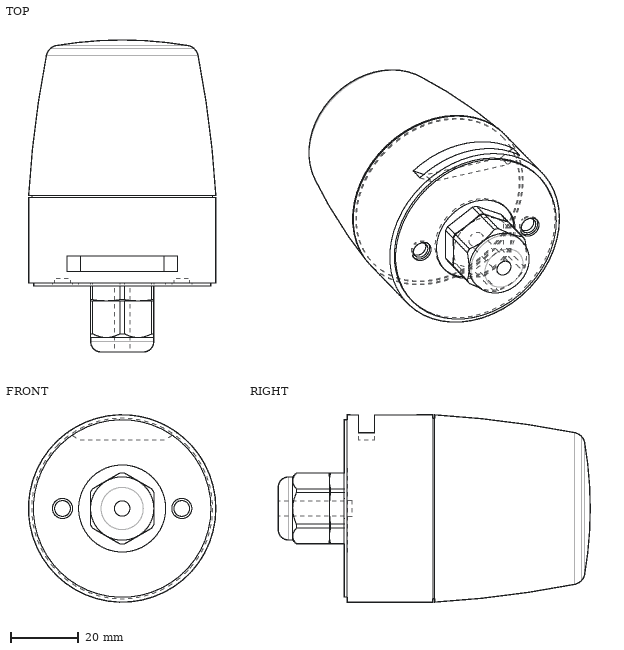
import cadquery as cq
import math


base_radius = 28.0
lip_radius = 26.5
lip_length = 0.9
recess_radius = 13.0
recess_depth = 1.0

groove_start = 26.5
groove_width = 0.5
groove_depth = 1.0
cap_start = groove_start + groove_width

side_mid_radius = 26.1
side_mid_y = 47.6
shoulder_radius = 22.7
shoulder_y = 68.8
shoulder_seam_radius = 21.5
shoulder_seam_y = 70.9
shoulder_round = 4.2
dome_radius = 19.9
dome_y = 71.8
apex_y = 73.5
overall_length = 93.2

slot_front_y = 4.3
slot_back_y = 9.0
slot_floor_half_width = 12.5
slot_mouth_half_width = 16.45
slot_end_slope = math.radians(30)

hole_offset = 17.8
counterbore_radius = 3.0
counterbore_depth = 0.9
hole_radius = 2.35
hole_depth = 2.3

hex_across_flats = 19.0
hex_corner_radius = 10.6
hex_joint_y = -4.4
joint_bevel = 0.35
neck_radius = 9.45
neck_start_y = -15.4
nut_chamfer = hex_corner_radius - neck_radius
gland_tip_y = apex_y - overall_length
tip_round = 3.15
bore_radius = 2.3


def turned(profile):
    """Revolve a closed (radius, Y) profile about the Y axis."""
    return profile.close().revolve(360, (0, 0, 0), (0, 1, 0))


def rod(radius, y_start, y_end, x=0.0):
    """Cylinder parallel to Y, centred at x, from y_start to y_end."""
    plane = cq.Workplane("XZ", origin=(x, y_start, 0))
    return plane.circle(radius).extrude(y_start - y_end)


def make_body():
    """Base and cap turned in one profile; the end dome is part of a sphere."""
    groove_radius = base_radius - groove_depth
    dome_height = apex_y - dome_y
    dome_sphere_radius = (dome_radius**2 + dome_height**2) / (2 * dome_height)
    profile = (
        cq.Workplane("XY")
        .lineTo(lip_radius, 0)
        .lineTo(lip_radius, lip_length)
        .lineTo(base_radius, lip_length)
        .lineTo(base_radius, groove_start)
        .lineTo(groove_radius, groove_start)
        .lineTo(groove_radius, cap_start)
        .lineTo(base_radius, cap_start)
        .threePointArc((side_mid_radius, side_mid_y), (shoulder_radius, shoulder_y))
        .radiusArc((shoulder_seam_radius, shoulder_seam_y), -shoulder_round)
        .radiusArc((dome_radius, dome_y), -shoulder_round)
        .radiusArc((0, apex_y), -dome_sphere_radius)
    )
    return turned(profile)


def make_face_recess():
    """Shallow round recess in the front face, around the gland."""
    return rod(recess_radius, recess_depth, 0)


def make_side_slot():
    """Cutter for the slot across the top of the base, with sloping end walls."""
    mouth_z = math.sqrt(base_radius**2 - slot_mouth_half_width**2)
    slope = math.tan(slot_end_slope)
    floor_z = mouth_z - (slot_mouth_half_width - slot_floor_half_width) * slope
    outer_z = base_radius
    outer_half_width = slot_floor_half_width + (outer_z - floor_z) / slope
    return (
        cq.Workplane("XZ", origin=(0, slot_back_y, 0))
        .moveTo(-slot_floor_half_width, floor_z)
        .lineTo(slot_floor_half_width, floor_z)
        .lineTo(outer_half_width, outer_z)
        .lineTo(-outer_half_width, outer_z)
        .close()
        .extrude(slot_back_y - slot_front_y)
    )


def make_face_hole(x):
    """Cutter for a blind hole with a shallow counterbore in the front face."""
    hole = rod(hole_radius, hole_depth, 0, x)
    return hole.union(rod(counterbore_radius, counterbore_depth, 0, x))


def make_hex(y_start, y_end):
    """Hexagonal bar along Y with two opposite corners on the Z direction."""
    plane = cq.Workplane("XZ", origin=(0, y_start, 0))
    return plane.polygon(6, hex_across_flats, circumscribed=True).extrude(y_start - y_end)


def make_gland():
    """Hexagonal body and nut with turned corners, rounded neck and axial bore.

    The body starts on the recess floor; a shallow bevel marks its joint with the nut.
    """
    hex_envelope = turned(
        cq.Workplane("XY")
        .moveTo(0, recess_depth)
        .lineTo(hex_corner_radius, recess_depth)
        .lineTo(hex_corner_radius, hex_joint_y + joint_bevel)
        .lineTo(neck_radius, hex_joint_y)
        .lineTo(hex_corner_radius, hex_joint_y)
        .lineTo(hex_corner_radius, neck_start_y + nut_chamfer)
        .lineTo(neck_radius, neck_start_y)
        .lineTo(0, neck_start_y)
    )
    nut = make_hex(recess_depth, neck_start_y).intersect(hex_envelope)
    neck = rod(neck_radius, neck_start_y, gland_tip_y).faces("<Y").edges().fillet(tip_round)
    bore = rod(bore_radius, 0, gland_tip_y)
    return nut.union(neck).cut(bore)


body = make_body().cut(make_face_recess()).cut(make_side_slot())
for side in (-1, 1):
    body = body.cut(make_face_hole(side * hole_offset))

result = body.union(make_gland())